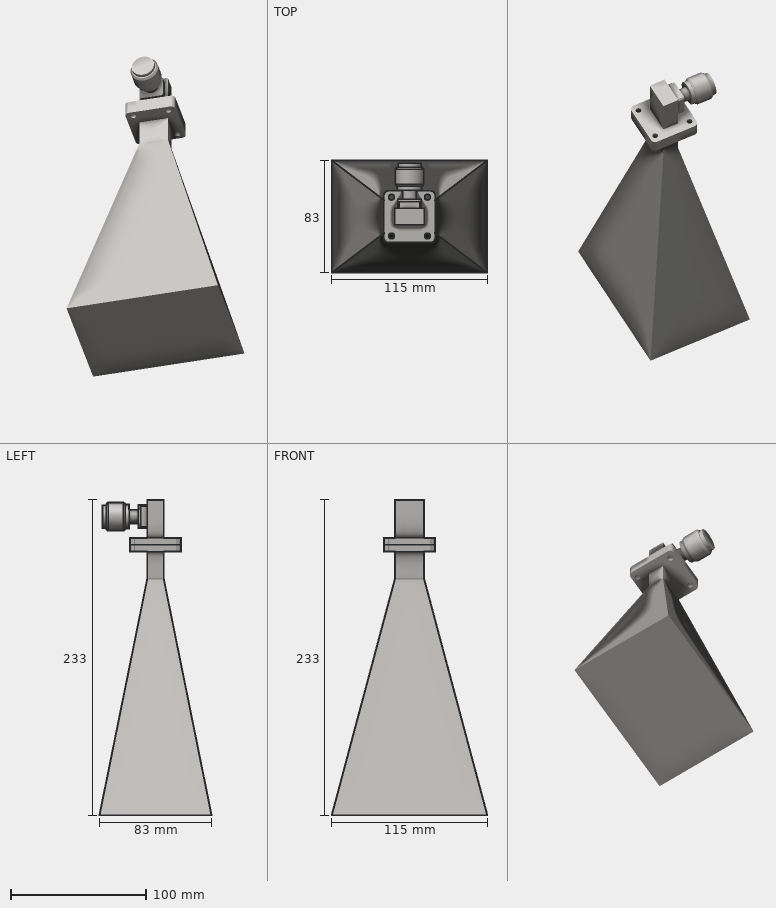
import cadquery as cq

TOTAL_HEIGHT = 233.0
FLANGE_THICKNESS = 5.1
ADAPTER_TUBE_HEIGHT = 28.0
NECK_HEIGHT = 20.0

joint_z = TOTAL_HEIGHT - ADAPTER_TUBE_HEIGHT - FLANGE_THICKNESS
neck_top_z = joint_z - FLANGE_THICKNESS
flare_height = neck_top_z - NECK_HEIGHT

MOUTH_WIDTH = 115.0
MOUTH_DEPTH = 83.0
GUIDE_WIDTH = 21.7
GUIDE_DEPTH = 12.3

FLANGE_SIDE = 38.0
FLANGE_CORNER_RADIUS = 3.3
BOLT_SPACING_X = 26.5
BOLT_SPACING_Y = 28.7
BOLT_HOLE_DIAMETER = 4.2

PAD_SIDE = 17.5
PAD_LENGTH = 4.7
PAD_CHAMFER = 1.2
CONNECTOR_AXIS_DROP = 12.3

connector_axis_z = TOTAL_HEIGHT - CONNECTOR_AXIS_DROP
guide_back_y = GUIDE_DEPTH / 2
pad_back_y = guide_back_y + PAD_LENGTH

PLATE_THICKNESS = 1.9
PLATE_CORNER_RADIUS = 2.0
SHAFT_DIAMETER = 10.3
SHAFT_LENGTH = 6.8
COLLAR_DIAMETER = 18.0
COLLAR_LENGTH = 2.8
NUT_DIAMETER = 21.0
NUT_SHOULDER_DIAMETER = 18.6
NUT_LENGTH = 14.2
NUT_CHAMFER_LENGTH = 1.6
TIP_DIAMETER = 17.0
TIP_LENGTH = 2.8


def flange(bottom_z):
    """Square flange with rounded corners and four through bolt holes."""
    return (
        cq.Workplane("XY", origin=(0, 0, bottom_z))
        .rect(FLANGE_SIDE, FLANGE_SIDE)
        .extrude(FLANGE_THICKNESS)
        .edges("|Z")
        .fillet(FLANGE_CORNER_RADIUS)
        .faces(">Z")
        .workplane()
        .rect(BOLT_SPACING_X, BOLT_SPACING_Y, forConstruction=True)
        .vertices()
        .hole(BOLT_HOLE_DIAMETER)
    )


def guide_tube(bottom_z, height):
    """Plain rectangular length of waveguide."""
    return (
        cq.Workplane("XY", origin=(0, 0, bottom_z))
        .rect(GUIDE_WIDTH, GUIDE_DEPTH)
        .extrude(height)
    )


def square_block(front_y, length):
    """Square block on the connector axis, growing toward +Y."""
    return (
        cq.Workplane("XZ", origin=(0, front_y, connector_axis_z))
        .rect(PAD_SIDE, PAD_SIDE)
        .extrude(-length)
    )


def make_horn():
    """Pyramidal flare, rectangular neck and the lower flange."""
    flare = (
        cq.Workplane("XY")
        .rect(MOUTH_WIDTH, MOUTH_DEPTH)
        .workplane(offset=flare_height)
        .rect(GUIDE_WIDTH, GUIDE_DEPTH)
        .loft(ruled=True)
    )
    neck = guide_tube(flare_height, NECK_HEIGHT)
    return flare.union(neck).union(flange(neck_top_z))


def make_adapter():
    """Upper flange, closed waveguide and the chamfered connector pad."""
    tube = guide_tube(joint_z + FLANGE_THICKNESS, ADAPTER_TUBE_HEIGHT)
    pad = square_block(guide_back_y, PAD_LENGTH).edges("|Y").chamfer(PAD_CHAMFER)
    return flange(joint_z).union(tube).union(pad)


def make_connector():
    """Rounded square mounting plate with the turned barrel behind it."""
    plate = square_block(pad_back_y, PLATE_THICKNESS).edges("|Y").fillet(PLATE_CORNER_RADIUS)

    shaft_start = pad_back_y + PLATE_THICKNESS
    collar_start = shaft_start + SHAFT_LENGTH
    nut_start = collar_start + COLLAR_LENGTH
    nut_end = nut_start + NUT_LENGTH
    tip_end = nut_end + TIP_LENGTH

    barrel = (
        cq.Workplane("YZ", origin=(0, 0, connector_axis_z))
        .moveTo(shaft_start, 0)
        .lineTo(shaft_start, SHAFT_DIAMETER / 2)
        .lineTo(collar_start, SHAFT_DIAMETER / 2)
        .lineTo(collar_start, COLLAR_DIAMETER / 2)
        .lineTo(nut_start, COLLAR_DIAMETER / 2)
        .lineTo(nut_start, NUT_SHOULDER_DIAMETER / 2)
        .lineTo(nut_start + NUT_CHAMFER_LENGTH, NUT_DIAMETER / 2)
        .lineTo(nut_end - NUT_CHAMFER_LENGTH, NUT_DIAMETER / 2)
        .lineTo(nut_end, NUT_SHOULDER_DIAMETER / 2)
        .lineTo(nut_end, TIP_DIAMETER / 2)
        .lineTo(tip_end, TIP_DIAMETER / 2)
        .lineTo(tip_end, 0)
        .close()
        .revolve(360, (0, 0, 0), (1, 0, 0))
    )
    return plate.union(barrel)


horn = make_horn()
adapter = make_adapter()
connector = make_connector()

bodies = [horn, adapter, connector]
result = cq.Compound.makeCompound([body.solids().val() for body in bodies])